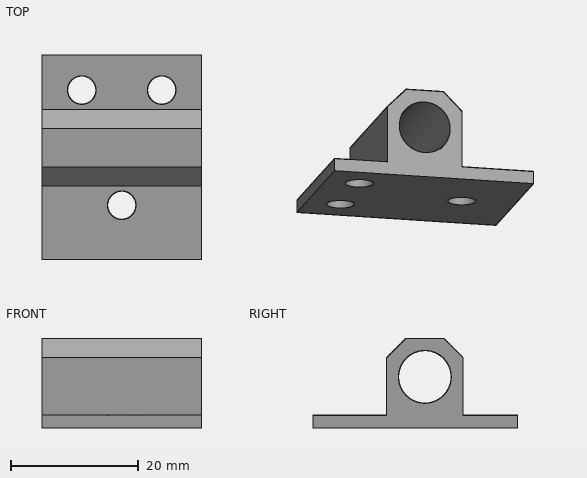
import cadquery as cq

length = 25.0
plate_thickness = 2.0
rear_flange = 8.5
front_flange = 11.5

housing_width = 12.0
housing_height = 12.0
housing_chamfer = 3.0
bore_diameter = 8.2

screw_diameter = 4.4
screw_to_housing = 3.0
rear_screw_spacing = length / 2

half_width = housing_width / 2
bore_height = plate_thickness + housing_height / 2
plate_width = front_flange + housing_width + rear_flange
plate_center_y = (rear_flange - front_flange) / 2
screw_offset_y = half_width + screw_to_housing


def make_plate():
    """Flat plate with its underside on Z = 0."""
    return (
        cq.Workplane("XY")
        .center(0, plate_center_y)
        .box(length, plate_width, plate_thickness, centered=(True, True, False))
    )


def make_housing():
    """Block on top of the plate with both upper long edges chamfered."""
    return (
        cq.Workplane("XY", origin=(0, 0, plate_thickness))
        .box(length, housing_width, housing_height, centered=(True, True, False))
        .edges("|X and >Z")
        .chamfer(housing_chamfer)
    )


def make_bore():
    """Rod bore running the full length of the housing."""
    return (
        cq.Workplane("YZ", origin=(-length / 2, 0, bore_height))
        .circle(bore_diameter / 2)
        .extrude(length)
    )


def make_screw_holes():
    """Two holes through the rear flange and one through the front flange."""
    centers = [
        (-rear_screw_spacing / 2, screw_offset_y),
        (rear_screw_spacing / 2, screw_offset_y),
        (0, -screw_offset_y),
    ]
    return (
        cq.Workplane("XY")
        .pushPoints(centers)
        .circle(screw_diameter / 2)
        .extrude(plate_thickness)
    )


result = make_plate().union(make_housing()).cut(make_bore()).cut(make_screw_holes())